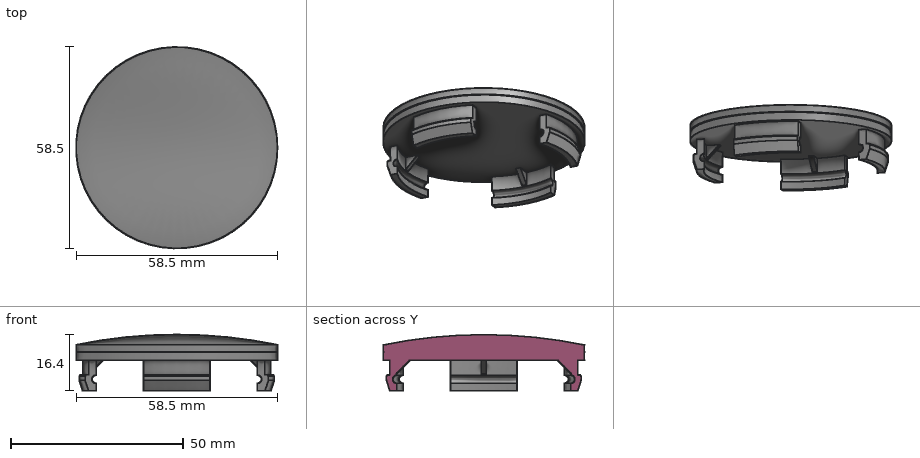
import cadquery as cq

disc_radius = 58.5 / 2
disc_height = 4.5
dome_height = 3.0

groove_width = 0.2
groove_depth = 0.1
groove_below_rim_top = 2.0

leg_count = 4
leg_inner_radius = 50.5 / 2
leg_thickness = 2.05
leg_outer_radius = leg_inner_radius + leg_thickness
leg_length = 8.9
leg_width = 19.3

bead_projection = 1.0
bead_radius = leg_outer_radius + bead_projection
bead_chamfer = 0.35
bead_top_z = -4.25
bead_bottom_z = -5.85

channel_radius = 1.15
channel_z = -5.5

gusset_size = 3.9
gusset_thickness = 1.5
gusset_overlap = leg_thickness / 2


def make_disc():
    """Disc with a spherical top; its flat underside lies at Z = 0."""
    sphere_radius = (disc_radius**2 + dome_height**2) / (2 * dome_height)
    apex_z = disc_height + dome_height
    mid_radius = disc_radius / 2
    mid_z = apex_z - sphere_radius + (sphere_radius**2 - mid_radius**2) ** 0.5
    return (
        cq.Workplane("XZ")
        .lineTo(disc_radius, 0)
        .lineTo(disc_radius, disc_height)
        .threePointArc((mid_radius, mid_z), (0, apex_z))
        .close()
        .revolve(360, (0, 0, 0), (0, 1, 0))
    )


def make_rim_groove():
    """Thin ring to remove from the rim of the disc."""
    groove_bottom_z = disc_height - groove_below_rim_top - groove_width
    return (
        cq.Workplane("XY", origin=(0, 0, groove_bottom_z))
        .circle(disc_radius + groove_depth)
        .circle(disc_radius - groove_depth)
        .extrude(groove_width)
    )


def make_leg_ring():
    """Full ring with the snap bead and the inner channel."""
    return (
        cq.Workplane("XZ")
        .moveTo(leg_inner_radius, 0)
        .lineTo(leg_outer_radius, 0)
        .lineTo(leg_outer_radius, bead_top_z)
        .lineTo(bead_radius - bead_chamfer, bead_top_z)
        .lineTo(bead_radius, bead_top_z - bead_chamfer)
        .lineTo(bead_radius, bead_bottom_z)
        .lineTo(leg_outer_radius, -leg_length)
        .lineTo(leg_inner_radius, -leg_length)
        .lineTo(leg_inner_radius, channel_z - channel_radius)
        .threePointArc(
            (leg_inner_radius + channel_radius, channel_z),
            (leg_inner_radius, channel_z + channel_radius),
        )
        .close()
        .revolve(360, (0, 0, 0), (0, 1, 0))
    )


def make_gusset():
    """Gusset for the leg on +X, let into the leg wall so that they join fully."""
    return (
        cq.Workplane("XZ")
        .moveTo(leg_inner_radius - gusset_size, 0)
        .lineTo(leg_inner_radius + gusset_overlap, 0)
        .lineTo(leg_inner_radius + gusset_overlap, -gusset_size)
        .lineTo(leg_inner_radius, -gusset_size)
        .close()
        .extrude(gusset_thickness / 2, both=True)
    )


def make_leg():
    """One leg on +X: the ring between two parallel side faces, with its gusset."""
    slab = cq.Workplane("XY").box(
        disc_radius, leg_width, leg_length, centered=(False, True, False)
    )
    slab = slab.translate((0, 0, -leg_length))
    return make_leg_ring().intersect(slab).union(make_gusset())


result = make_disc().cut(make_rim_groove())
leg = make_leg()
for index in range(leg_count):
    result = result.union(leg.rotate((0, 0, 0), (0, 0, 1), index * 360 / leg_count))